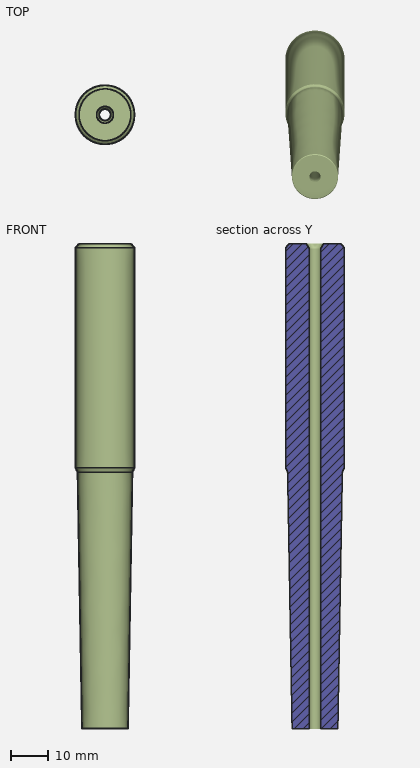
import cadquery as cq
import math

total_length = 130.0
shank_length = 60.0
shoulder_height = total_length - shank_length

shank_radius = 15.88 / 2
shank_chamfer_width = 1.0
shank_chamfer_height = 1.1

neck_radius_at_shoulder = 14.8 / 2
neck_radius_at_tip = 12.4 / 2
tip_chamfer = 0.2
shoulder_bevel_height = 1.2

bore_radius = 3.0 / 2
countersink_radius = 4.5 / 2
countersink_angle = 60.0
countersink_depth = (countersink_radius - bore_radius) / math.tan(math.radians(countersink_angle / 2))


def revolve_profile(points):
    """Turn a closed (radius, height) outline into a solid about the Z axis."""
    axis_start = (0, 0, 0)
    axis_end = (0, 1, 0)
    return cq.Workplane("XZ").polyline(points).close().revolve(360, axis_start, axis_end)


def turned_body():
    """Solid outer form: chamfered tip, tapered neck, shoulder bevel and shank."""
    return revolve_profile([
        (0, 0),
        (neck_radius_at_tip - tip_chamfer, 0),
        (neck_radius_at_tip, tip_chamfer),
        (neck_radius_at_shoulder, shoulder_height - shoulder_bevel_height),
        (shank_radius, shoulder_height),
        (shank_radius, total_length - shank_chamfer_height),
        (shank_radius - shank_chamfer_width, total_length),
        (0, total_length),
    ])


def countersunk_bore():
    """Material removed by the through bore and its countersink."""
    return revolve_profile([
        (0, 0),
        (bore_radius, 0),
        (bore_radius, total_length - countersink_depth),
        (countersink_radius, total_length),
        (0, total_length),
    ])


result = turned_body().cut(countersunk_bore())